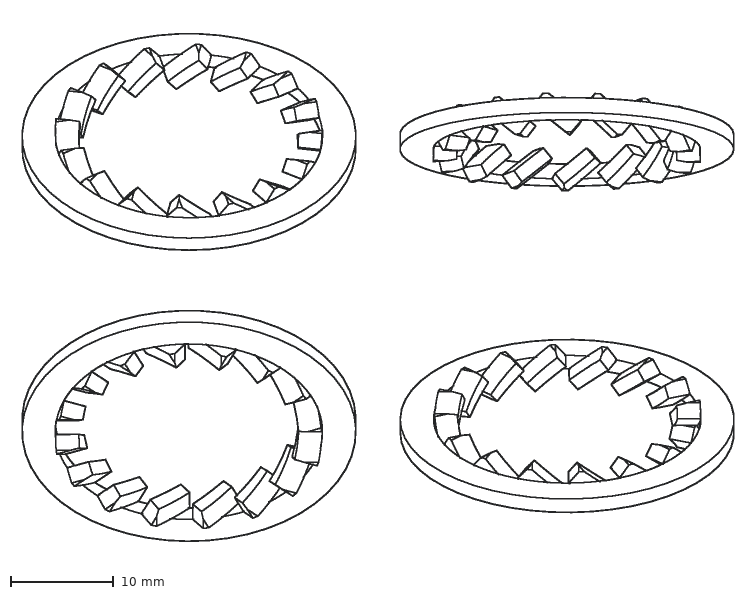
import cadquery as cq
import math

outer_diameter = 32.5
bore_diameter = 26.0
tooth_tip_diameter = 21.44
ring_thickness = 1.5
overall_height = 3.9
tooth_count = 16
tooth_gap = 0.3
tooth_tilt = 40.0

half_ring = ring_thickness / 2
half_height = overall_height / 2
tooth_pitch = 360 / tooth_count
end_tilt = 90 - tooth_tilt


def annulus(outer, inner, height):
    """Flat ring of the given diameters, centred on the origin."""
    return (
        cq.Workplane("XY")
        .circle(outer / 2)
        .circle(inner / 2)
        .extrude(height)
        .translate((0, 0, -height / 2))
    )


def wedge():
    """Radial bar along +X with a sharp edge at y = 0 level with the ring's top face.

    A narrow face rises from that edge and a long face falls from it.
    """
    end_run = (half_height - half_ring) / math.tan(math.radians(end_tilt))
    long_run = (half_height + half_ring) / math.tan(math.radians(tooth_tilt))
    far_side = bore_diameter / 2
    return (
        cq.Workplane("YZ")
        .moveTo(0, half_ring)
        .lineTo(end_run, half_height)
        .lineTo(far_side, half_height)
        .lineTo(far_side, -half_height)
        .lineTo(long_run, -half_height)
        .close()
        .extrude(outer_diameter / 2)
    )


def tooth():
    """Tooth between the radial line at 0 degrees and the gap before the next tooth."""
    leading = wedge()
    trailing = (
        wedge()
        .rotate((0, 0, 0), (1, 0, 0), 180)
        .translate((0, -tooth_gap, 0))
        .rotate((0, 0, 0), (0, 0, 1), tooth_pitch)
    )
    tooth_band = annulus(bore_diameter, tooth_tip_diameter, overall_height)
    return leading.intersect(trailing).intersect(tooth_band)


result = annulus(outer_diameter, bore_diameter, ring_thickness)
single_tooth = tooth()
for index in range(tooth_count):
    result = result.union(single_tooth.rotate((0, 0, 0), (0, 0, 1), index * tooth_pitch))